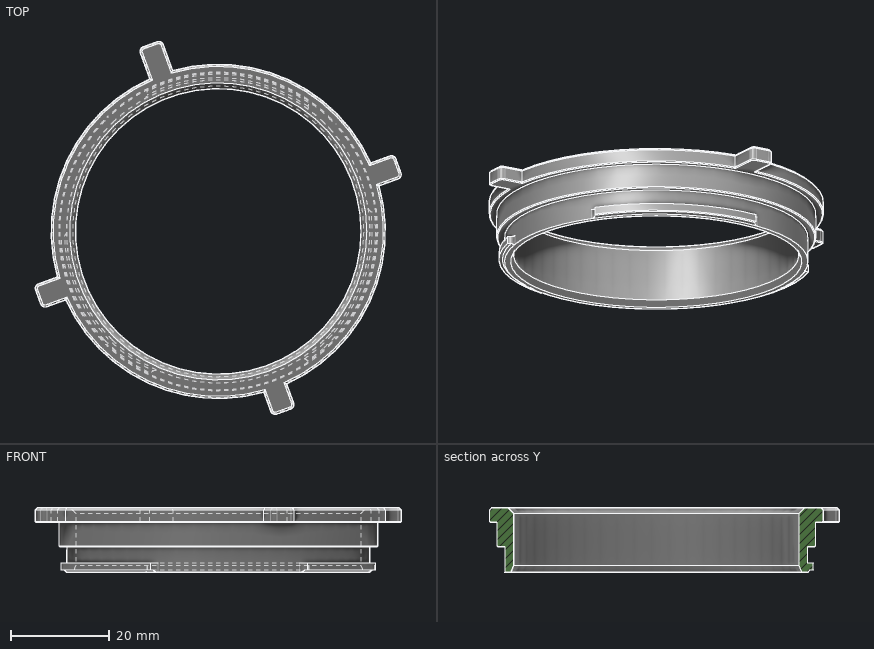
import cadquery as cq
import math

TOTAL_HEIGHT = 13.15
FLANGE_THICKNESS = 3.0
SHOULDER_HEIGHT = 5.0
flange_bottom = TOTAL_HEIGHT - FLANGE_THICKNESS
shoulder_bottom = flange_bottom - SHOULDER_HEIGHT

BORE_RADIUS = 58.0 / 2
NECK_RADIUS = 61.7 / 2
SHOULDER_RADIUS = 64.9 / 2
FLANGE_RADIUS = 68.0 / 2

TOP_BORE_CHAMFER = 1.2
BOTTOM_BORE_TAPER_HEIGHT = 1.4
BOTTOM_BORE_TAPER_WIDTH = 0.6
TOP_EDGE_CHAMFER = 0.45
LOWER_EDGE_CHAMFER = 0.2

TAB_WIDTH = 5.0
TAB_CORNER_RADIUS = 1.0
TAB_REACH = 39.0
LONG_TAB_REACH = TAB_REACH + 1.5
FIRST_TAB_ANGLE = 20.0
TAB_PITCH = 90.0
tab_reaches = (TAB_REACH, LONG_TAB_REACH, TAB_REACH, TAB_REACH)

LUG_RADIUS = 32.0
LUG_TOP = 1.9
LUG_UNDERSIDE_HEIGHT = 0.45
LUG_SPAN = 66.7
LUG_END_FILLET = 1.25
LUG_START_ANGLES = (52.5, 180.0, 302.4)


def make_body():
    """Solid neck with the wider shoulder on top of it."""
    neck = cq.Workplane("XY").circle(NECK_RADIUS).extrude(shoulder_bottom)
    shoulder = (
        cq.Workplane("XY", origin=(0, 0, shoulder_bottom))
        .circle(SHOULDER_RADIUS)
        .extrude(SHOULDER_HEIGHT)
        .faces("<Z")
        .chamfer(LOWER_EDGE_CHAMFER)
    )
    return neck.union(shoulder)


def make_tab(angle, reach):
    """Flat tab from the axis out to its reach, with rounded tip corners."""
    return (
        cq.Workplane("XY", origin=(0, 0, flange_bottom))
        .center(reach / 2, 0)
        .rect(reach, TAB_WIDTH)
        .extrude(FLANGE_THICKNESS)
        .edges("|Z and >X")
        .fillet(TAB_CORNER_RADIUS)
        .rotate((0, 0, 0), (0, 0, 1), angle)
    )


def make_flange():
    """Flange disc with its tabs, all outer edges broken."""
    flange = (
        cq.Workplane("XY", origin=(0, 0, flange_bottom))
        .circle(FLANGE_RADIUS)
        .extrude(FLANGE_THICKNESS)
    )
    for index, reach in enumerate(tab_reaches):
        flange = flange.union(make_tab(FIRST_TAB_ANGLE + index * TAB_PITCH, reach))
    flange = flange.faces(">Z").chamfer(TOP_EDGE_CHAMFER)
    return flange.faces("<Z").chamfer(LOWER_EDGE_CHAMFER)


def polar_point(radius, angle):
    """Point in the XY plane at a radius and an angle in degrees."""
    return (
        radius * math.cos(math.radians(angle)),
        radius * math.sin(math.radians(angle)),
    )


def make_lug_ring():
    """Full ring with the cross-section of a lug: flat underside, 45 degree flare to the neck."""
    return (
        cq.Workplane("XZ")
        .moveTo(BORE_RADIUS, 0)
        .lineTo(NECK_RADIUS, 0)
        .lineTo(NECK_RADIUS + LUG_UNDERSIDE_HEIGHT, LUG_UNDERSIDE_HEIGHT)
        .lineTo(LUG_RADIUS, LUG_UNDERSIDE_HEIGHT)
        .lineTo(LUG_RADIUS, LUG_TOP)
        .lineTo(BORE_RADIUS, LUG_TOP)
        .close()
        .revolve(360, (0, 0, 0), (0, 1, 0))
    )


def make_lug_sector(start_angle):
    """Plan shape of one lug, its ends running into the neck with concave fillets."""
    end_angle = start_angle + LUG_SPAN
    middle_angle = start_angle + LUG_SPAN / 2
    fillet_centre_radius = NECK_RADIUS + LUG_END_FILLET
    fillet_angle = math.degrees(
        math.acos(
            (fillet_centre_radius**2 + LUG_RADIUS**2 - LUG_END_FILLET**2)
            / (2 * fillet_centre_radius * LUG_RADIUS)
        )
    )
    return (
        cq.Workplane("XY")
        .moveTo(*polar_point(BORE_RADIUS, start_angle))
        .lineTo(*polar_point(NECK_RADIUS, start_angle))
        .radiusArc(polar_point(LUG_RADIUS, start_angle + fillet_angle), LUG_END_FILLET)
        .threePointArc(
            polar_point(LUG_RADIUS, middle_angle),
            polar_point(LUG_RADIUS, end_angle - fillet_angle),
        )
        .radiusArc(polar_point(NECK_RADIUS, end_angle), LUG_END_FILLET)
        .lineTo(*polar_point(BORE_RADIUS, end_angle))
        .threePointArc(
            polar_point(BORE_RADIUS, middle_angle),
            polar_point(BORE_RADIUS, start_angle),
        )
        .close()
        .extrude(LUG_TOP)
    )


def make_bore():
    """Through bore with a chamfered top mouth and a tapered bottom mouth."""
    return (
        cq.Workplane("XZ")
        .moveTo(0, 0)
        .lineTo(BORE_RADIUS + BOTTOM_BORE_TAPER_WIDTH, 0)
        .lineTo(BORE_RADIUS, BOTTOM_BORE_TAPER_HEIGHT)
        .lineTo(BORE_RADIUS, TOTAL_HEIGHT - TOP_BORE_CHAMFER)
        .lineTo(BORE_RADIUS + TOP_BORE_CHAMFER, TOTAL_HEIGHT)
        .lineTo(0, TOTAL_HEIGHT)
        .close()
        .revolve(360, (0, 0, 0), (0, 1, 0))
    )


lug_ring = make_lug_ring()
result = make_body().union(make_flange())
for lug_start in LUG_START_ANGLES:
    result = result.union(lug_ring.intersect(make_lug_sector(lug_start)))
result = result.cut(make_bore())